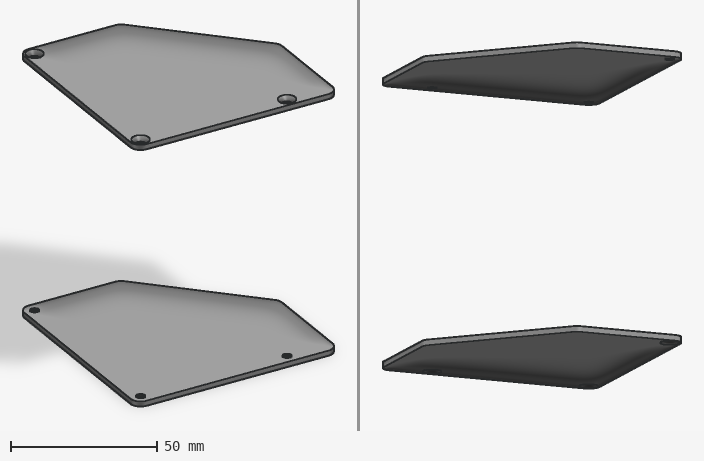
import cadquery as cq

plate_side = 80.0
stack_height = 101.6
plate_thickness = 2.0

clipped_corner = 40.0
corner_radius = 4.0

hole_diameter = 3.1
countersink_diameter = 6.4
countersink_angle = 90.0
hole_inset = corner_radius
hole_spacing_x = plate_side - 2 * hole_inset
hole_spacing_y = 58.0

hole_centers = [
    (hole_inset, hole_inset),
    (hole_inset + hole_spacing_x, hole_inset),
    (hole_inset + hole_spacing_x, hole_inset + hole_spacing_y),
]


def plate_blank():
    """Square plate with one corner clipped at 45 degrees and rounded vertical edges."""
    outline = [
        (0, 0),
        (plate_side, 0),
        (plate_side, plate_side),
        (clipped_corner, plate_side),
        (0, plate_side - clipped_corner),
    ]
    prism = cq.Workplane("XY").polyline(outline).close().extrude(plate_thickness)
    return prism.edges("|Z").fillet(corner_radius)


def make_cover_plate():
    """Plate resting on Z = 0, with screw holes countersunk from above."""
    return (
        plate_blank()
        .faces(">Z")
        .workplane(origin=(0, 0, 0))
        .pushPoints(hole_centers)
        .cskHole(hole_diameter, countersink_diameter, countersink_angle)
    )


upper_cover = make_cover_plate().translate((0, 0, stack_height - plate_thickness))
lower_cover = upper_cover.mirror("XY", (0, 0, stack_height / 2))

result = cq.Compound.makeCompound([upper_cover.val(), lower_cover.val()])